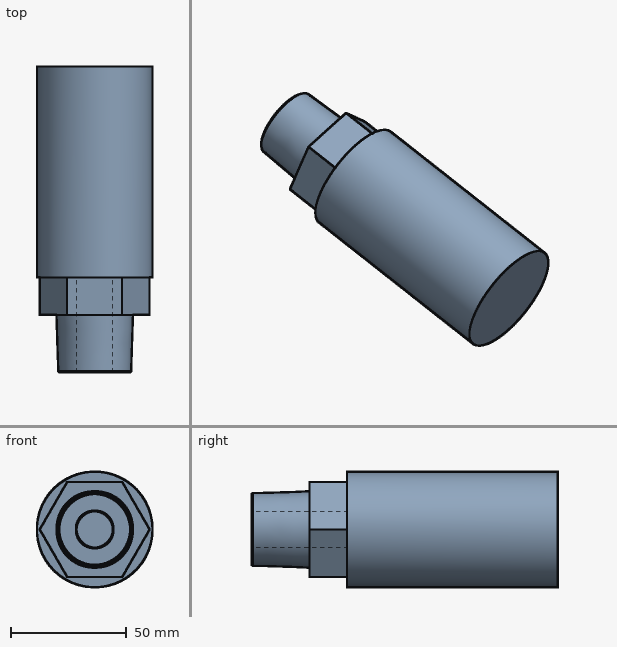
import cadquery as cq
import math

total_length = 132.0
sleeve_diameter = 50.0
sleeve_length = 91.0
hex_across_flats = 41.0
hex_length = 16.2
spigot_root_diameter = 33.1
spigot_tip_diameter = 31.5
spigot_tip_chamfer = 0.5
bore_diameter = 15.6
bore_chamfer = 0.4

spigot_length = total_length - sleeve_length - hex_length
bore_depth = spigot_length + hex_length


def plane_at(y):
    """Plane normal to the part axis, looking toward +Y, with local x along X."""
    return cq.Plane(origin=(0, y, 0), xDir=(1, 0, 0), normal=(0, 1, 0))


def make_sleeve():
    return cq.Workplane(plane_at(bore_depth)).circle(sleeve_diameter / 2).extrude(sleeve_length)


def make_hexagon():
    across_corners = hex_across_flats / math.cos(math.pi / 6)
    return cq.Workplane(plane_at(spigot_length)).polygon(6, across_corners).extrude(hex_length)


def make_spigot():
    root_radius = spigot_root_diameter / 2
    tip_radius = spigot_tip_diameter / 2
    profile = [
        (0, 0),
        (tip_radius - spigot_tip_chamfer, 0),
        (tip_radius, spigot_tip_chamfer),
        (root_radius, spigot_length),
        (0, spigot_length),
    ]
    return cq.Workplane("XY").polyline(profile).close().revolve(360, (0, 0), (0, 1))


def make_bore():
    bore_radius = bore_diameter / 2
    profile = [
        (0, 0),
        (bore_radius + bore_chamfer, 0),
        (bore_radius, bore_chamfer),
        (bore_radius, bore_depth),
        (0, bore_depth),
    ]
    return cq.Workplane("XY").polyline(profile).close().revolve(360, (0, 0), (0, 1))


result = make_sleeve().union(make_hexagon()).union(make_spigot()).cut(make_bore())